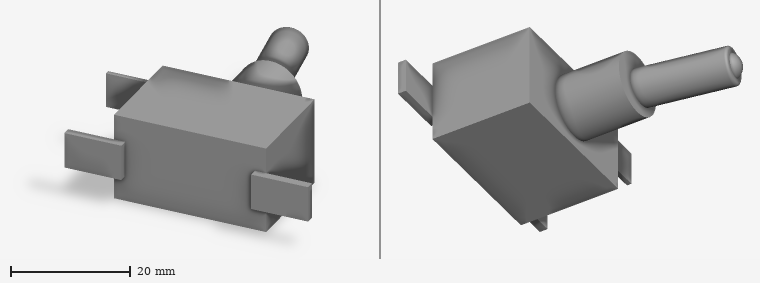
import cadquery as cq
import math

BODY_WIDTH = 28.1
BODY_DEPTH = 19.15
BODY_HEIGHT = 15.9

BUSHING_DIAMETER = 11.8
BUSHING_LENGTH = 12.5

LEVER_DIAMETER = 7.0
LEVER_TILT = 10.0
LEVER_EDGE_RADIUS = 0.5
PIVOT_BELOW_BUSHING_END = 7.25
DOME_BASE_RADIUS = 2.25
DOME_HEIGHT = 1.35
TIP_REACH = 17.9

TERMINAL_LENGTH = 10.5
TERMINAL_THICKNESS = 1.55
TERMINAL_HEIGHT = 6.55
TERMINAL_SPAN = 45.05

TAB_LENGTH = 8.75
TAB_THICKNESS = 0.85
TAB_HEIGHT = 6.4
TAB_TOP_GAP = 1.7
TAB_FRONT_GAP = 2.8

BODY_FRONT = BODY_DEPTH / 2
BUSHING_END = BODY_FRONT + BUSHING_LENGTH


def make_bushing():
    """Cylinder along +Y from the body face."""
    return (
        cq.Workplane("XZ", origin=(0, BODY_FRONT, 0))
        .circle(BUSHING_DIAMETER / 2)
        .extrude(-BUSHING_LENGTH)
    )


def make_lever():
    """Revolved rod with a rounded rim and a domed tip, tilted about its pivot."""
    radius = LEVER_DIAMETER / 2
    dome_radius = (DOME_BASE_RADIUS**2 + DOME_HEIGHT**2) / (2 * DOME_HEIGHT)
    tilt = math.radians(LEVER_TILT)
    dome_centre = (PIVOT_BELOW_BUSHING_END + TIP_REACH - dome_radius) / math.cos(tilt)
    end_face = dome_centre + dome_radius - DOME_HEIGHT
    half_angle = math.asin(DOME_BASE_RADIUS / dome_radius) / 2
    dome_middle = (
        dome_radius * math.sin(half_angle),
        dome_centre + dome_radius * math.cos(half_angle),
    )
    pivot_y = BUSHING_END - PIVOT_BELOW_BUSHING_END
    return (
        cq.Workplane("XY")
        .lineTo(radius, 0)
        .lineTo(radius, end_face - LEVER_EDGE_RADIUS)
        .radiusArc((radius - LEVER_EDGE_RADIUS, end_face), -LEVER_EDGE_RADIUS)
        .lineTo(DOME_BASE_RADIUS, end_face)
        .threePointArc(dome_middle, (0, end_face + DOME_HEIGHT))
        .close()
        .revolve(360, (0, 0, 0), (0, 1, 0))
        .rotate((0, 0, 0), (0, 0, 1), LEVER_TILT)
        .translate((0, pivot_y, 0))
    )


def make_terminal(side):
    """Flat terminal on the -Y face; side is -1 for the -X end, +1 for the +X end."""
    centre_x = side * (TERMINAL_SPAN - TERMINAL_LENGTH) / 2
    centre_y = -(BODY_DEPTH + TERMINAL_THICKNESS) / 2
    return cq.Workplane("XY").box(
        TERMINAL_LENGTH, TERMINAL_THICKNESS, TERMINAL_HEIGHT
    ).translate((centre_x, centre_y, 0))


def make_side_tab():
    """Thin tab standing out of the -X face near the bushing."""
    return cq.Workplane("XY").box(TAB_LENGTH, TAB_THICKNESS, TAB_HEIGHT).translate((
        -(BODY_WIDTH + TAB_LENGTH) / 2,
        BODY_FRONT - TAB_FRONT_GAP - TAB_THICKNESS / 2,
        BODY_HEIGHT / 2 - TAB_TOP_GAP - TAB_HEIGHT / 2,
    ))


result = cq.Workplane("XY").box(BODY_WIDTH, BODY_DEPTH, BODY_HEIGHT)
result = result.union(make_bushing()).union(make_lever()).union(make_side_tab())
for side in (-1, 1):
    result = result.union(make_terminal(side))